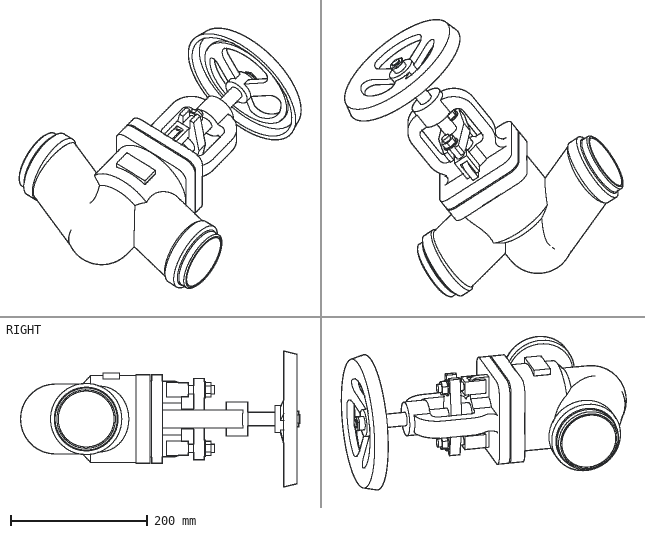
import cadquery as cq
import math


body_radius = 64.0
neck_radius = 51.7
body_bottom_y = 6.7
neck_top_y = -5.0
dome_centre_y = -44.8

face_to_face = 310.0
weld_end_radius = 45.6
weld_lip_radius = 43.0
weld_chamfer_length = 2.0
weld_bore_radius = 41.0
weld_bore_depth = 1.0
weld_end_length = 11.0
weld_root_radius = 46.8
weld_root_x = 142.2
collar_radius = 52.3
collar_outer_x = 139.5
collar_inner_x = 123.5
collar_shoulder_radius = 47.0
collar_shoulder_x = 118.0

inlet_radius = 47.2
inlet_angle = 21.7
inlet_inner_x = -10.0
outlet_radius = 48.4
outlet_angle = 12.4

flange_size = 130.0
flange_corner_radius = 17.0
body_flange_bottom_y = 73.3
body_flange_top_y = 94.0
bonnet_bottom_y = 96.0
bonnet_top_y = 112.0
gasket_radius = 56.0

plate_width = 53.0
plate_bottom_y = 24.4
plate_top_y = 49.2
plate_bottom_z = 58.5
plate_top_z = 67.7

yoke_thickness = 27.0
yoke_half_width = 55.0
yoke_top_y = 230.0
yoke_corner_radius = 35.0
yoke_lower_bend_y = 150.0
yoke_foot_radius = 10.0
window_half_width = 38.0
window_bottom_y = 140.0
window_top_y = 205.4
window_corner_radius = 9.5
yoke_boss_radius = 25.0
yoke_boss_top_y = 237.4

stuffing_box_radius = 24.0
gland_sleeve_radius = 15.0
gland_plate_bottom_y = 157.7
gland_plate_top_y = 173.6
gland_plate_half_length = 59.8
gland_plate_half_width = 23.0
gland_plate_end_half_width = 13.0
gland_slot_width = 13.0

bolt_z = 43.0
bolt_radius = 6.3
bolt_end_y = 188.7
nut_across_flats = 18.6
nut_height = 8.0
washer_radius = 12.0
washer_height = 1.8
fork_half_width = 11.0
fork_depth = 20.8
fork_bottom_y = 118.0
fork_top_y = 150.0
fork_slot_width = 11.5
fork_slot_top_y = 142.4
lug_thickness = 9.6
lug_outer_z = 55.6
lug_corner_radius = 11.0

spindle_radius = 10.0
wheel_radius = 100.0
wheel_back_radius = 95.2
wheel_front_y = 290.0
wheel_back_y = 309.5
rim_inner_radius = 92.7
rim_floor_radius = 89.5
rim_floor_y = 303.0
web_outer_radius = 76.0
web_inner_radius = 68.6
web_front_y = 299.0
web_thickness = wheel_back_y - web_front_y
hub_radius = 20.0
hub_front_y = 277.0
hub_cone_y = 285.0
hub_back_y = 301.0
wheel_window_radius = 66.0
wheel_window_corner_radius = 12.0
spoke_width = 24.0
spoke_count = 3
wheel_nut_across_flats = 20.0
wheel_nut_top_y = 312.2
spindle_tip_radius = 6.3
spindle_tip_y = 314.0


def disc(radius, bottom_y, top_y, z=0):
    """Cylinder along Y."""
    return cq.Workplane("XY").add(
        cq.Solid.makeCylinder(radius, top_y - bottom_y, cq.Vector(0, bottom_y, z), cq.Vector(0, 1, 0))
    )


def block(width, bottom_y, top_y, bottom_z, top_z):
    """Box centred on X = 0."""
    corner = cq.Vector(-width / 2, bottom_y, bottom_z)
    return cq.Workplane("XY").add(
        cq.Solid.makeBox(width, top_y - bottom_y, top_z - bottom_z, corner)
    )


def plan_at(y):
    """Workplane looking along +Y, its local axes being X and Z."""
    return cq.Workplane("XZ", origin=(0, y, 0))


def prism(plan, height):
    """Extrude a plan drawn on plan_at() towards +Y."""
    return plan.extrude(-height)


def hexagon_nut(across_flats, bottom_y, height, z=0):
    """Hexagonal nut with two corners on the Z direction."""
    corner_diameter = across_flats / math.cos(math.pi / 6)
    plan = plan_at(bottom_y).center(0, z).transformed(rotate=(0, 0, 90)).polygon(6, corner_diameter)
    return prism(plan, height)


def make_body():
    dome_y = dome_centre_y - neck_radius
    profile = (
        cq.Workplane("XY")
        .moveTo(0, body_flange_bottom_y)
        .lineTo(body_radius, body_flange_bottom_y)
        .lineTo(body_radius, body_bottom_y)
        .lineTo(neck_radius, neck_top_y)
        .lineTo(neck_radius, dome_centre_y)
        .radiusArc((0, dome_y), neck_radius)
        .close()
    )
    return profile.revolve(360, (0, 0, 0), (0, 1, 0))


def make_pipe_end(side):
    """Collar and weld end on the -X (side = -1) or +X (side = 1) end."""
    end_x = face_to_face / 2
    outline = [
        (collar_shoulder_x, 0),
        (collar_shoulder_x, collar_shoulder_radius),
        (collar_inner_x, collar_radius),
        (collar_outer_x, collar_radius),
        (weld_root_x, weld_root_radius),
        (end_x - weld_end_length, weld_end_radius),
        (end_x - weld_chamfer_length, weld_end_radius),
        (end_x, weld_lip_radius),
        (end_x, weld_bore_radius),
        (end_x - weld_bore_depth, weld_bore_radius),
        (end_x - weld_bore_depth, 0),
    ]
    points = [(side * x, radius) for x, radius in outline]
    return cq.Workplane("XY").polyline(points).close().revolve(360, (0, 0, 0), (1, 0, 0))


def make_slanted_pipe(side, radius, angle, inner_x):
    """Pipe leading from the collar to the valve body, its outer end cut square to X in the collar."""
    slope = math.radians(angle)
    outward = cq.Vector(math.cos(slope), -math.sin(slope), 0) * side
    collar_centre = cq.Vector(side * collar_inner_x, 0, 0)
    inner_length = (collar_inner_x - abs(inner_x)) / math.cos(slope)
    overlap = radius
    start = collar_centre - outward * inner_length
    pipe = cq.Solid.makeCylinder(radius, inner_length + overlap, start, outward)
    keep = cq.Workplane("XY").box(2 * collar_inner_x, face_to_face, face_to_face)
    return keep.intersect(cq.Workplane("XY").add(pipe))


def make_flange(bottom_y, top_y):
    plan = plan_at(bottom_y).rect(flange_size, flange_size)
    return prism(plan, top_y - bottom_y).edges("|Y").fillet(flange_corner_radius)


def make_yoke():
    """Yoke outline: straight arms, round shoulders and a waist flaring into the bonnet."""
    bend_x = yoke_half_width - yoke_corner_radius
    shoulder_y = yoke_top_y - yoke_corner_radius
    foot_y = bonnet_top_y + yoke_foot_radius
    bend_drop = math.asin((yoke_lower_bend_y - foot_y) / (yoke_corner_radius + yoke_foot_radius))
    blend_x = bend_x + yoke_corner_radius * math.cos(bend_drop)
    blend_y = yoke_lower_bend_y - yoke_corner_radius * math.sin(bend_drop)
    foot_x = bend_x + (yoke_corner_radius + yoke_foot_radius) * math.cos(bend_drop)
    outline = (
        cq.Workplane("XY", origin=(0, 0, -yoke_thickness / 2))
        .moveTo(-foot_x, bonnet_top_y)
        .lineTo(foot_x, bonnet_top_y)
        .radiusArc((blend_x, blend_y), yoke_foot_radius)
        .radiusArc((yoke_half_width, yoke_lower_bend_y), -yoke_corner_radius)
        .lineTo(yoke_half_width, shoulder_y)
        .radiusArc((bend_x, yoke_top_y), -yoke_corner_radius)
        .lineTo(-bend_x, yoke_top_y)
        .radiusArc((-yoke_half_width, shoulder_y), -yoke_corner_radius)
        .lineTo(-yoke_half_width, yoke_lower_bend_y)
        .radiusArc((-blend_x, blend_y), -yoke_corner_radius)
        .radiusArc((-foot_x, bonnet_top_y), yoke_foot_radius)
        .close()
    )
    half_thickness = yoke_thickness / 2
    window = block(2 * window_half_width, window_bottom_y, window_top_y, -half_thickness, half_thickness)
    window = window.edges("|Z").fillet(window_corner_radius)
    boss = disc(yoke_boss_radius, window_top_y, yoke_boss_top_y)
    return outline.extrude(yoke_thickness).cut(window).union(boss)


def make_gland():
    """Stuffing box, gland sleeve and six-sided gland plate with an open slot at each end."""
    plan = plan_at(gland_plate_bottom_y).polyline([
        (gland_plate_half_width, 0),
        (gland_plate_end_half_width, gland_plate_half_length),
        (-gland_plate_end_half_width, gland_plate_half_length),
        (-gland_plate_half_width, 0),
        (-gland_plate_end_half_width, -gland_plate_half_length),
        (gland_plate_end_half_width, -gland_plate_half_length),
    ]).close()
    plate = prism(plan, gland_plate_top_y - gland_plate_bottom_y)
    for side in (-1, 1):
        slot_plan = plan_at(gland_plate_bottom_y).center(0, side * gland_plate_half_length)
        slot_length = 2 * (gland_plate_half_length - bolt_z) + gland_slot_width
        slot_plan = slot_plan.slot2D(slot_length, gland_slot_width, 90)
        plate = plate.cut(prism(slot_plan, gland_plate_top_y - gland_plate_bottom_y))
    stuffing_box = disc(stuffing_box_radius, bonnet_top_y, window_bottom_y)
    sleeve = disc(gland_sleeve_radius, window_bottom_y, gland_plate_bottom_y)
    return plate.union(stuffing_box).union(sleeve)


def make_gland_bolt():
    """Lug on the bonnet, forked bolt straddling it, washer and nut, on the +Z side."""
    lug = block(lug_thickness, bonnet_top_y, window_bottom_y, 0, lug_outer_z)
    lug = lug.edges("|X and >Y and >Z").fillet(lug_corner_radius)
    fork_bottom_z = bolt_z - fork_depth / 2
    fork_top_z = bolt_z + fork_depth / 2
    fork = block(2 * fork_half_width, fork_bottom_y, fork_top_y, fork_bottom_z, fork_top_z)
    fork_slot = block(fork_slot_width, fork_bottom_y, fork_slot_top_y, fork_bottom_z, fork_top_z)
    eye = disc(lug_thickness / 2, window_bottom_y, fork_slot_top_y, z=bolt_z)
    shank = disc(bolt_radius, fork_top_y, bolt_end_y, z=bolt_z)
    washer_top_y = gland_plate_top_y + washer_height
    washer = disc(washer_radius, gland_plate_top_y, washer_top_y, z=bolt_z)
    nut = hexagon_nut(nut_across_flats, washer_top_y, nut_height, bolt_z)
    return fork.cut(fork_slot).union(lug).union(eye).union(shank).union(washer).union(nut)


def make_wheel_window():
    """Opening between two spokes, centred on the +Z direction."""
    height = wheel_back_y - hub_front_y
    opening = disc(wheel_window_radius, hub_front_y, wheel_back_y)
    half_gap = math.pi / spoke_count
    reach = 2 * wheel_window_radius
    apex_z = spoke_width / 2 / math.sin(half_gap)
    edge_x = reach * math.sin(half_gap)
    edge_z = apex_z + reach * math.cos(half_gap)
    wedge_plan = plan_at(hub_front_y).polyline([
        (0, apex_z),
        (edge_x, edge_z),
        (edge_x, reach),
        (-edge_x, reach),
        (-edge_x, edge_z),
    ]).close()
    opening = opening.intersect(prism(wedge_plan, height))
    outer_corners = cq.selectors.BoxSelector(
        (-reach, hub_front_y, hub_radius), (reach, wheel_back_y, reach)
    )
    return opening.edges("|Y").edges(outer_corners).fillet(wheel_window_corner_radius)


def make_handwheel():
    """Wheel with a dished web of even thickness, spokes, hub and fixing nut."""
    dish_back_y = hub_cone_y + web_thickness
    profile = cq.Workplane("XY").polyline([
        (0, hub_cone_y),
        (hub_radius, hub_cone_y),
        (web_inner_radius, web_front_y),
        (web_outer_radius, web_front_y),
        (web_outer_radius, rim_floor_y),
        (rim_floor_radius, rim_floor_y),
        (rim_inner_radius, wheel_front_y),
        (wheel_radius, wheel_front_y),
        (wheel_back_radius, wheel_back_y),
        (web_inner_radius, wheel_back_y),
        (hub_radius, dish_back_y),
        (0, dish_back_y),
    ]).close()
    wheel = profile.revolve(360, (0, 0, 0), (0, 1, 0))
    window = make_wheel_window()
    for index in range(spoke_count):
        wheel = wheel.cut(window.rotate((0, 0, 0), (0, 1, 0), index * 360 / spoke_count))
    hub = disc(hub_radius, hub_front_y, hub_back_y)
    nut = hexagon_nut(wheel_nut_across_flats, wheel_back_y, wheel_nut_top_y - wheel_back_y)
    tip = disc(spindle_tip_radius, wheel_nut_top_y, spindle_tip_y)
    return wheel.union(hub).union(nut).union(tip)


bolt = make_gland_bolt()
features = [
    make_slanted_pipe(-1, inlet_radius, inlet_angle, inlet_inner_x),
    make_slanted_pipe(1, outlet_radius, outlet_angle, 0),
    make_pipe_end(-1),
    make_pipe_end(1),
    make_flange(body_flange_bottom_y, body_flange_top_y),
    disc(gasket_radius, body_flange_top_y, bonnet_bottom_y),
    make_flange(bonnet_bottom_y, bonnet_top_y),
    block(plate_width, plate_bottom_y, plate_top_y, plate_bottom_z, plate_top_z),
    make_yoke(),
    disc(spindle_radius, bonnet_top_y, wheel_back_y),
    make_gland(),
    bolt,
    bolt.mirror("XY"),
    make_handwheel(),
]

result = make_body()
for feature in features:
    result = result.union(feature)